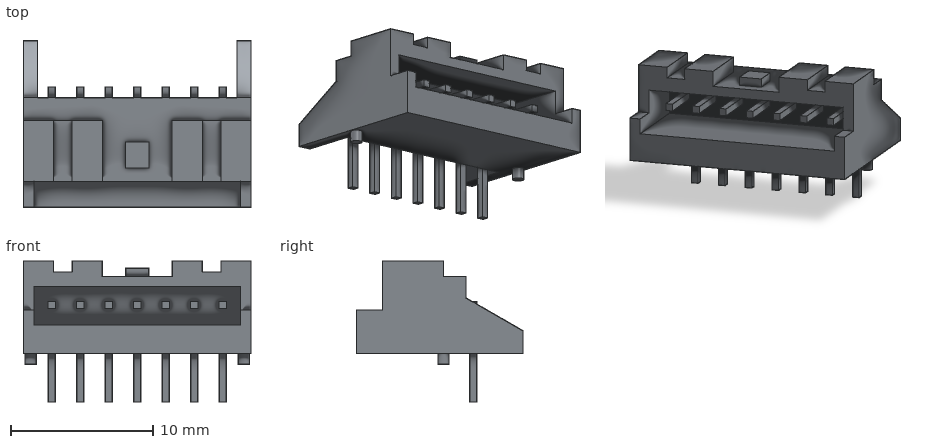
import cadquery as cq


LENGTH = 16.0
DEPTH = 11.7
HEIGHT = 6.5
SHOULDER_DEPTH = 1.82
SHOULDER_Z = 3.07
RAISED_BACK = 6.11
BODY_BACK = 7.7
DECK_Z = 5.4

BLOCK_WIDTH = 2.13
BLOCK_GAP = 1.3
GAP_DEPTH = 0.77

BOSS_WIDTH = 1.62
BOSS_FRONT = 2.75
BOSS_BACK = 4.6
BOSS_TOP = 6.0

CAVITY_WALL = 0.77
CAVITY_FLOOR = 2.0
CAVITY_TOP = 4.72

RIB_WIDTH = 1.0
RIB_LOW_Z = 1.6
RIB_HIGH_Z = 3.9

PIN_COUNT = 7
PIN_PITCH = 2.0
PIN_SIZE = 0.5
PIN_TIP_Y = 2.6
PIN_BACK_Y = 8.45
PIN_AXIS_Z = 3.4
PIN_TAIL = 3.4

PEG_DIAMETER = 0.8
PEG_LENGTH = 0.77
PEG_X = 7.49
PEG_Y = RAISED_BACK


def block(x_range, y_range, z_range):
    """Box filling the given (low, high) range along each axis."""
    (x0, x1), (y0, y1), (z0, z1) = x_range, y_range, z_range
    return cq.Workplane("XY").box(x1 - x0, y1 - y0, z1 - z0, centered=False).translate((x0, y0, z0))


def centred(middle, size):
    """(low, high) range of the given size about its middle."""
    return (middle - size / 2, middle + size / 2)


def side_profile(points, x_start, width):
    """Extrude a (Y, Z) outline along +X from x_start."""
    return cq.Workplane("YZ", origin=(x_start, 0, 0)).polyline(points).close().extrude(width)


def make_body():
    """Stepped housing with raised blocks, boss and open cavity."""
    outline = [
        (0, 0),
        (BODY_BACK, 0),
        (BODY_BACK, DECK_Z),
        (RAISED_BACK, DECK_Z),
        (RAISED_BACK, HEIGHT),
        (SHOULDER_DEPTH, HEIGHT),
        (SHOULDER_DEPTH, SHOULDER_Z),
        (0, SHOULDER_Z),
    ]
    body = side_profile(outline, -LENGTH / 2, LENGTH)

    raised_y = (SHOULDER_DEPTH, RAISED_BACK)
    centre_gap = LENGTH - 2 * (2 * BLOCK_WIDTH + BLOCK_GAP)
    body = body.cut(block(centred(0, centre_gap), raised_y, (DECK_Z, HEIGHT)))
    gap_offset = LENGTH / 2 - BLOCK_WIDTH - BLOCK_GAP / 2
    for gap_x in (-gap_offset, gap_offset):
        body = body.cut(block(centred(gap_x, BLOCK_GAP), raised_y, (HEIGHT - GAP_DEPTH, HEIGHT)))

    body = body.union(block(centred(0, BOSS_WIDTH), (BOSS_FRONT, BOSS_BACK), (DECK_Z, BOSS_TOP)))

    cavity_width = LENGTH - 2 * CAVITY_WALL
    return body.cut(block(centred(0, cavity_width), (0, RAISED_BACK), (CAVITY_FLOOR, CAVITY_TOP)))


def make_rib(x_start):
    """Sloping support rib behind one end of the housing."""
    outline = [(BODY_BACK, 0), (DEPTH, 0), (DEPTH, RIB_LOW_Z), (BODY_BACK, RIB_HIGH_Z)]
    return side_profile(outline, x_start, RIB_WIDTH)


def make_pin(x):
    """L-shaped square pin: contact along Y, tail down along Z."""
    top = PIN_AXIS_Z + PIN_SIZE / 2
    bottom = PIN_AXIS_Z - PIN_SIZE / 2
    tail_front = PIN_BACK_Y - PIN_SIZE
    outline = [
        (PIN_TIP_Y, top),
        (PIN_BACK_Y, top),
        (PIN_BACK_Y, -PIN_TAIL),
        (tail_front, -PIN_TAIL),
        (tail_front, bottom),
        (PIN_TIP_Y, bottom),
    ]
    return side_profile(outline, x - PIN_SIZE / 2, PIN_SIZE)


def make_peg(x):
    """Round locating peg under the housing."""
    peg = cq.Workplane("XY").circle(PEG_DIAMETER / 2).extrude(-PEG_LENGTH)
    return peg.translate((x, PEG_Y, 0))


result = make_body()

for rib_x in (-LENGTH / 2, LENGTH / 2 - RIB_WIDTH):
    result = result.union(make_rib(rib_x))

for index in range(PIN_COUNT):
    pin_x = (index - (PIN_COUNT - 1) / 2) * PIN_PITCH
    result = result.union(make_pin(pin_x))

for peg_x in (-PEG_X, PEG_X):
    result = result.union(make_peg(peg_x))